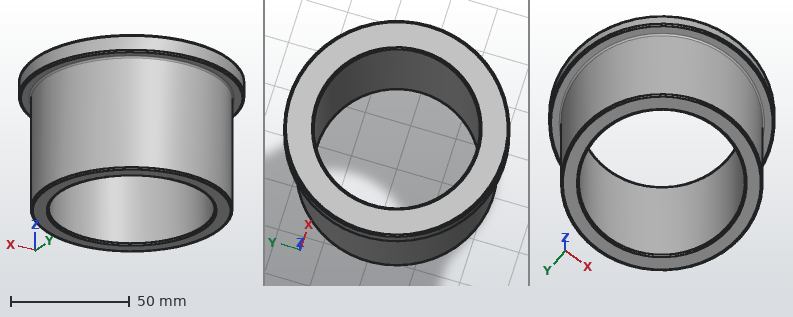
import cadquery as cq

flange_diameter = 95.0
body_diameter = 85.0
bore_diameter = 70.0
total_height = 60.0
flange_thickness = 8.0
edge_chamfer = 0.8
neck_fillet = 0.8

flange_radius = flange_diameter / 2
body_radius = body_diameter / 2
bore_radius = bore_diameter / 2
flange_bottom = total_height - flange_thickness

section = (
    cq.Workplane("XZ")
    .moveTo(bore_radius + edge_chamfer, 0)
    .lineTo(body_radius - edge_chamfer, 0)
    .lineTo(body_radius, edge_chamfer)
    .lineTo(body_radius, flange_bottom - neck_fillet)
    .tangentArcPoint((body_radius + neck_fillet, flange_bottom), relative=False)
    .lineTo(flange_radius - edge_chamfer, flange_bottom)
    .lineTo(flange_radius, flange_bottom + edge_chamfer)
    .lineTo(flange_radius, total_height - edge_chamfer)
    .lineTo(flange_radius - edge_chamfer, total_height)
    .lineTo(bore_radius + edge_chamfer, total_height)
    .lineTo(bore_radius, total_height - edge_chamfer)
    .lineTo(bore_radius, edge_chamfer)
    .close()
)

result = section.revolve(360, (0, 0, 0), (0, 1, 0))